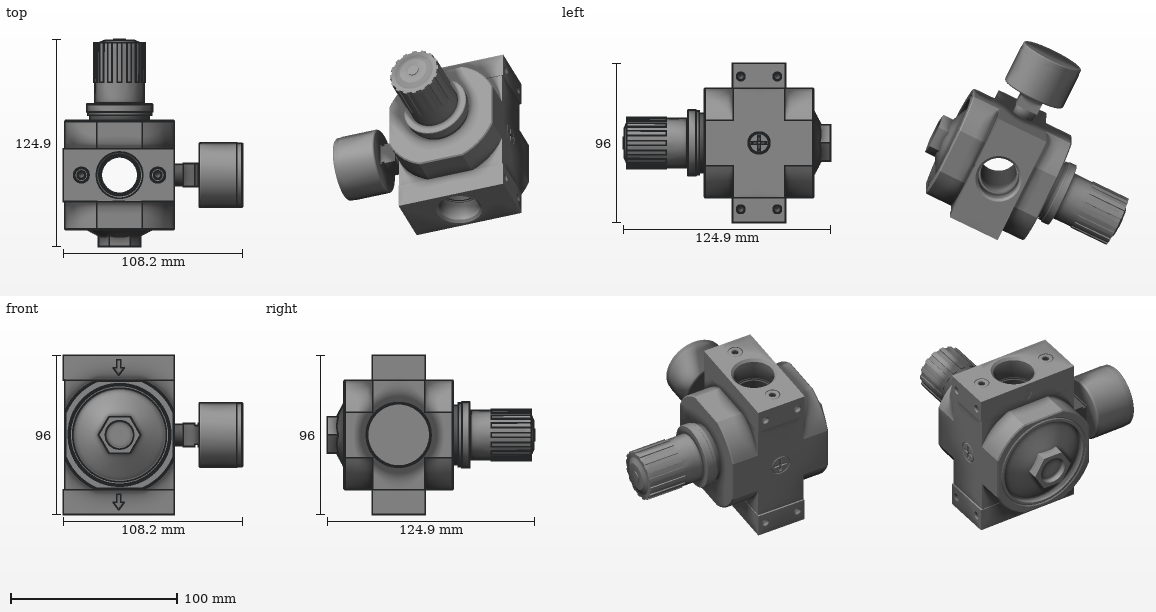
import cadquery as cq
import math


HOUSING_SIZE = 66.0
BAND_WIDTH = 31.2
CORNER_DIA = 71.5
END_CHAMFER = 0.8
PORT_DIA = 22.0
HALF = HOUSING_SIZE / 2

PLATE_THICKNESS = 15.0
PLATE_DEPTH = 32.0
PLATE_OVERHANG = 1.0
PLATE_WIDTH = HOUSING_SIZE + PLATE_OVERHANG
PLATE_MIDDLE_X = -PLATE_OVERHANG / 2
THREAD_DIA = 24.9
THREAD_CHAMFER = 1.5
SEAT_LIP_DIA = 24.0
SEAT_LIP_HEIGHT = 0.8

SIDE_HOLE_DIA = 4.2
SIDE_HOLE_MOUTH_DIA = 5.0
SIDE_HOLE_DEPTH = 7.5
SIDE_HOLE_Y = 11.0
SIDE_HOLE_Z = 7.0
DRILL_ANGLE = 118.0

ARROW_TOP_GAP = 2.8
ARROW_SHAFT_LENGTH = 4.8
ARROW_HEAD_LENGTH = 4.6
ARROW_SHAFT_WIDTH = 2.2
ARROW_HEAD_WIDTH = 6.8
ARROW_DEPTH = 0.2

SCREW_X = 23.0
SCREW_DIA = 9.2
SCREW_CHAMFER = 0.6
SCREW_LENGTH = 7.5
SOCKET_DIA = 4.1
SOCKET_MOUTH_DIA = 5.0
SOCKET_DEPTH = 3.1

PLUG_DIA = 12.4
PLUG_CHAMFER = 0.4
PLUG_LENGTH = 5.0
CROSS_LENGTH = 9.2
CROSS_FLOOR_LENGTH = 7.4
CROSS_WIDTH = 1.5
CROSS_DEPTH = 1.0
CROSS_CENTRE_DEPTH = 1.5
CROSS_CENTRE_WIDTH = 1.9

BOWL_DIA = 60.8
BOWL_CHAMFER = 0.6
BOWL_SEAT_CHAMFER = 0.5
BOWL_SEAT_DEPTH = 10.0
CONE_DIA = 53.8
CONE_FACE_DIA = 38.2
CONE_ANGLE = 27.5
FILLET_WIDTH = 1.4
HEX_ACROSS_FLATS = 22.0
HEX_HEIGHT = 10.1
HEX_BORE_DIA = 17.0
HEX_BORE_FLOOR_DIA = 14.8
HEX_BORE_DEPTH = 3.8
HEX_BORE_FILLET = (HEX_BORE_DIA - HEX_BORE_FLOOR_DIA) / 2

BONNET_NECK_DIA = 36.0
BONNET_NECK_LENGTH = 3.0
COLLAR_DIA = 38.5
COLLAR_LENGTH = 1.9
LOCK_RING_DIA = 39.8
LOCK_RING_LENGTH = 5.0
LOCK_RING_CHAMFER = 0.4
BONNET_END = HALF + BONNET_NECK_LENGTH + COLLAR_LENGTH + LOCK_RING_LENGTH

KNOB_NECK_DIA = 25.2
KNOB_NECK_LENGTH = 0.6
SKIRT_DIA = 30.0
SKIRT_END_DIA = 29.2
SKIRT_LENGTH = 36.2
RIB_COUNT = 16
RIB_DIA = 31.0
RIB_WIDTH = 2.8
RIB_LENGTH = 23.9
CAP_DIA = 23.8
CAP_FLAT_DIA = 17.0
CAP_HEIGHT = 1.5
BUTTON_DIA = 6.8
BUTTON_HEIGHT = 0.6
SKIRT_START = BONNET_END + KNOB_NECK_LENGTH
SKIRT_END = SKIRT_START + SKIRT_LENGTH

STEM_DIA = 13.1
STEM_LENGTH = 5.5
SQUARE_SIZE = 14.0
SQUARE_LENGTH = 9.4
GROOVE_WIDTH = 1.9
GROOVE_FLOOR_HEIGHT = 11.5
GROOVE_FLANGE = 0.6
CASE_DIA = 39.0
CASE_LENGTH = 22.8
CASE_FILLET = 1.2
BEZEL_DIA = 38.5
BEZEL_LENGTH = 3.5
BEZEL_CHAMFER = 0.5
SQUARE_START = HALF + STEM_LENGTH
CASE_START = SQUARE_START + SQUARE_LENGTH
BEZEL_START = CASE_START + CASE_LENGTH


def cylinder(axis, dia, start, length):
    """Cylinder about the X, Y or Z axis, growing in the positive direction from `start`."""
    direction = {"X": cq.Vector(1, 0, 0), "Y": cq.Vector(0, 1, 0), "Z": cq.Vector(0, 0, 1)}[axis]
    return cq.Workplane(cq.Solid.makeCylinder(dia / 2, length, direction * start, direction))


def drilled_hole(mouth_dia, dia, depth):
    """Tool for a blind hole that starts at the origin and runs along -Z, with a drill point."""
    lead_in = (mouth_dia - dia) / 2
    point = dia / 2 / math.tan(math.radians(DRILL_ANGLE / 2))
    profile = [
        (0, 0), (mouth_dia / 2, 0), (dia / 2, -lead_in), (dia / 2, -depth), (0, -depth - point),
    ]
    return cq.Workplane("XZ").polyline(profile).close().revolve(360, (0, 0), (0, 1))


def make_housing():
    block = cq.Workplane().box(HOUSING_SIZE, HOUSING_SIZE, HOUSING_SIZE)
    rounded = cylinder("Y", CORNER_DIA, -HALF, HOUSING_SIZE).intersect(block)
    rounded = rounded.faces("<Y or >Y").chamfer(END_CHAMFER)
    band = cq.Workplane().box(HOUSING_SIZE, BAND_WIDTH, HOUSING_SIZE)
    body = rounded.union(band)

    body = body.cut(cylinder("Z", PORT_DIA, -HALF, HOUSING_SIZE))

    bowl_seat = cylinder("Y", BOWL_DIA, -HALF, BOWL_SEAT_DEPTH)
    body = body.cut(bowl_seat)
    body = body.faces("<Y").edges(cq.selectors.RadiusNthSelector(0)).chamfer(BOWL_SEAT_CHAMFER)

    plug_seat = cylinder("X", PLUG_DIA, -HALF, PLUG_LENGTH)
    body = body.cut(plug_seat)
    return body.faces("<X").edges("%CIRCLE").chamfer(PLUG_CHAMFER)


def arrow_tool(top_z):
    """Flat arrow pointing to -Z, sunk into the plate's front face."""
    tail = top_z - ARROW_TOP_GAP
    shoulder = tail - ARROW_SHAFT_LENGTH
    tip = shoulder - ARROW_HEAD_LENGTH
    shaft = ARROW_SHAFT_WIDTH / 2
    head = ARROW_HEAD_WIDTH / 2
    outline = [
        (-shaft, tail), (shaft, tail), (shaft, shoulder), (head, shoulder),
        (0, tip), (-head, shoulder), (-shaft, shoulder),
    ]
    arrow = cq.Workplane("XZ").polyline(outline).close().extrude(ARROW_DEPTH)
    return arrow.translate((PLATE_MIDDLE_X, -PLATE_DEPTH / 2 + ARROW_DEPTH, 0))


def make_plate(side):
    """Connection plate on top (side = 1) or underneath (side = -1), threaded from outside."""
    plate = cq.Workplane().box(PLATE_WIDTH, PLATE_DEPTH, PLATE_THICKNESS)
    plate = plate.translate((PLATE_MIDDLE_X, 0, HALF + PLATE_THICKNESS / 2))

    outer_face = HALF + PLATE_THICKNESS
    plate = plate.cut(cylinder("Z", SEAT_LIP_DIA, HALF, PLATE_THICKNESS))
    plate = plate.cut(cylinder("Z", THREAD_DIA, HALF + SEAT_LIP_HEIGHT, PLATE_THICKNESS))
    plate = plate.faces(">Z").edges("%CIRCLE").chamfer(THREAD_CHAMFER)

    side_hole = drilled_hole(SIDE_HOLE_MOUTH_DIA, SIDE_HOLE_DIA, SIDE_HOLE_DEPTH)
    side_hole = side_hole.rotate((0, 0, 0), (0, 1, 0), -90)
    for y in (-SIDE_HOLE_Y, SIDE_HOLE_Y):
        plate = plate.cut(side_hole.translate((-HALF - PLATE_OVERHANG, y, HALF + SIDE_HOLE_Z)))

    if side > 0:
        for x in (-SCREW_X, SCREW_X):
            seat = cylinder("Z", SCREW_DIA, outer_face - SCREW_LENGTH, SCREW_LENGTH)
            plate = plate.cut(seat.translate((x, 0, 0)))
        arrow_top = outer_face
    else:
        plate = plate.mirror("XY")
        arrow_top = -HALF
    return plate.cut(arrow_tool(arrow_top))


def make_screw(x):
    """Socket screw sunk flush into the upper plate."""
    outer_face = HALF + PLATE_THICKNESS
    screw = cylinder("Z", SCREW_DIA, outer_face - SCREW_LENGTH, SCREW_LENGTH)
    screw = screw.faces(">Z").chamfer(SCREW_CHAMFER)
    socket = drilled_hole(SOCKET_MOUTH_DIA, SOCKET_DIA, SOCKET_DEPTH)
    return screw.cut(socket.translate((0, 0, outer_face))).translate((x, 0, 0))


def make_plug():
    plug = cylinder("X", PLUG_DIA, -HALF, PLUG_LENGTH).faces("<X").chamfer(PLUG_CHAMFER)
    slot_profile = [
        (-HALF, -CROSS_LENGTH / 2), (-HALF, CROSS_LENGTH / 2),
        (-HALF + CROSS_DEPTH, CROSS_FLOOR_LENGTH / 2), (-HALF + CROSS_DEPTH, -CROSS_FLOOR_LENGTH / 2),
    ]
    slot = cq.Workplane("XZ").polyline(slot_profile).close().extrude(CROSS_WIDTH / 2, both=True)
    for angle in (0, 90):
        plug = plug.cut(slot.rotate((0, 0, 0), (1, 0, 0), angle))
    centre = cq.Workplane().box(CROSS_CENTRE_DEPTH, CROSS_CENTRE_WIDTH, CROSS_CENTRE_WIDTH)
    return plug.cut(centre.translate((-HALF + CROSS_CENTRE_DEPTH / 2, 0, 0)))


def make_bowl():
    """Disc with a raised rim round a shallow cone, and a hexagon on the cone's top."""
    cone_slope = math.tan(math.radians(CONE_ANGLE))
    top_radius = HEX_ACROSS_FLATS / 4
    cone_radius = CONE_DIA / 2

    def cone_y(radius):
        return -HALF - (CONE_FACE_DIA / 2 - radius) * cone_slope

    chord_angle = math.radians((CONE_ANGLE - 90) / 2)
    fillet_end = (
        cone_radius + FILLET_WIDTH,
        cone_y(cone_radius) + FILLET_WIDTH * math.tan(chord_angle),
    )
    outer = BOWL_DIA / 2
    seat_y = -HALF + BOWL_SEAT_DEPTH
    bowl = (
        cq.Workplane("XY")
        .moveTo(0, seat_y)
        .lineTo(0, cone_y(top_radius))
        .lineTo(top_radius, cone_y(top_radius))
        .lineTo(cone_radius, cone_y(cone_radius))
        .tangentArcPoint(fillet_end, relative=False)
        .lineTo(fillet_end[0], -HALF)
        .lineTo(outer - BOWL_CHAMFER, -HALF)
        .lineTo(outer, -HALF + BOWL_CHAMFER)
        .lineTo(outer, seat_y)
        .close()
        .revolve(360, (0, 0), (0, 1))
    )
    hex_end = -HALF - HEX_HEIGHT
    across_corners = HEX_ACROSS_FLATS / math.cos(math.radians(30))
    hexagon = cq.Workplane("XZ", origin=(0, seat_y, 0)).polygon(6, across_corners)
    bowl = bowl.union(hexagon.extrude(seat_y - hex_end))
    bore = cylinder("Y", HEX_BORE_DIA, hex_end, HEX_BORE_DEPTH).faces(">Y").fillet(HEX_BORE_FILLET)
    return bowl.cut(bore)


def make_bonnet():
    collar_start = HALF + BONNET_NECK_LENGTH
    ring_start = collar_start + COLLAR_LENGTH
    neck = cylinder("Y", BONNET_NECK_DIA, HALF, BONNET_NECK_LENGTH)
    collar = cylinder("Y", COLLAR_DIA, collar_start, COLLAR_LENGTH)
    ring = cylinder("Y", LOCK_RING_DIA, ring_start, LOCK_RING_LENGTH)
    ring = ring.faces("<Y or >Y").chamfer(LOCK_RING_CHAMFER)
    return neck.union(collar).union(ring)


def make_knob():
    cap_end = SKIRT_END + CAP_HEIGHT
    profile = [
        (0, BONNET_END), (KNOB_NECK_DIA / 2, BONNET_END), (KNOB_NECK_DIA / 2, SKIRT_START),
        (SKIRT_DIA / 2, SKIRT_START), (SKIRT_END_DIA / 2, SKIRT_END), (CAP_DIA / 2, SKIRT_END),
        (CAP_FLAT_DIA / 2, cap_end), (BUTTON_DIA / 2, cap_end),
        (BUTTON_DIA / 2, cap_end + BUTTON_HEIGHT), (0, cap_end + BUTTON_HEIGHT),
    ]
    knob = cq.Workplane("XY").polyline(profile).close().revolve(360, (0, 0), (0, 1))

    bar = cq.Workplane().box(RIB_WIDTH, RIB_LENGTH, RIB_DIA / 2)
    bar = bar.translate((0, SKIRT_END - RIB_LENGTH / 2, RIB_DIA / 4))
    rib = bar.intersect(cylinder("Y", RIB_DIA, SKIRT_END - RIB_LENGTH, RIB_LENGTH))
    for i in range(RIB_COUNT):
        knob = knob.union(rib.rotate((0, 0, 0), (0, 1, 0), i * 360 / RIB_COUNT))
    return knob


def make_gauge():
    stem = cylinder("X", STEM_DIA, HALF, STEM_LENGTH)

    square = cq.Workplane().box(SQUARE_LENGTH, SQUARE_SIZE, SQUARE_SIZE)
    square = square.translate((SQUARE_START + SQUARE_LENGTH / 2, 0, 0))
    groove_x = CASE_START - GROOVE_FLANGE - GROOVE_WIDTH / 2
    for side in (-1, 1):
        groove = cq.Workplane().box(GROOVE_WIDTH, SQUARE_SIZE, SQUARE_SIZE)
        groove_z = side * (GROOVE_FLOOR_HEIGHT + SQUARE_SIZE) / 2
        square = square.cut(groove.translate((groove_x, 0, groove_z)))

    case = cylinder("X", CASE_DIA, CASE_START, CASE_LENGTH).faces("<X").fillet(CASE_FILLET)
    bezel = cylinder("X", BEZEL_DIA, BEZEL_START, BEZEL_LENGTH).faces(">X").chamfer(BEZEL_CHAMFER)
    return stem.union(square).union(case).union(bezel)


housing = make_housing()
plates = [make_plate(side) for side in (1, -1)]
screws = [make_screw(x) for x in (-SCREW_X, SCREW_X)]
plug = make_plug()
bowl = make_bowl()
bonnet = make_bonnet()
knob = make_knob()
gauge = make_gauge()

result = cq.Compound.makeCompound([
    housing.val(),
    *[plate.val() for plate in plates],
    *[screw.val() for screw in screws],
    plug.val(),
    bowl.val(),
    bonnet.val(),
    knob.val(),
    gauge.val(),
])